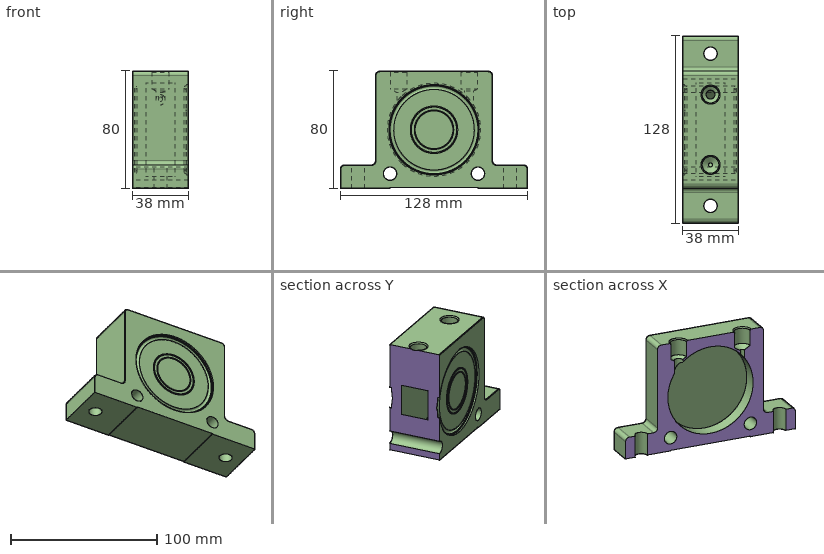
import cadquery as cq
import math

width = 38.0
length = 128.0
height = 80.0
body_length = height
foot_height = 16.0
corner_radius = 3.0
side_chamfer = 0.4

relief_length = 60.0
relief_depth = 0.4

bolt_diameter = 9.0
foot_bolt_spacing = 104.0
cross_bolt_spacing = relief_length
cross_bolt_height = 10.0

port_spacing = 48.0
port_diameter = 11.4
port_mouth_diameter = 13.0
port_depth = 12.0
drill_point_angle = 118.0
inlet_passage_diameter = 2.7
outlet_passage_diameter = 6.0

cap_height = height / 2
cap_diameter = 61.8
cap_recess = 1.3
rim_groove_inner_diameter = 55.0
rim_groove_outer_diameter = 60.0
rim_chamfer = 0.4
ring_groove_diameters = [(31.0, 32.5), (25.9, 27.0)]
ring_groove_depth = 0.3

chamber_diameter = 63.7
chamber_length = 20.0
passage_depth = height - cap_height


def make_block():
    """Upright body on two feet, with rounded corners and chamfered sides."""
    half_length = length / 2
    half_body = body_length / 2
    block = (
        cq.Workplane("YZ")
        .moveTo(-half_length, 0)
        .lineTo(half_length, 0)
        .lineTo(half_length, foot_height)
        .lineTo(half_body, foot_height)
        .lineTo(half_body, height)
        .lineTo(-half_body, height)
        .lineTo(-half_body, foot_height)
        .lineTo(-half_length, foot_height)
        .close()
        .extrude(width / 2, both=True)
    )
    block = block.edges("(|X) and (not <Z)").fillet(corner_radius)
    return block.faces("<X or >X").edges("not <Z").chamfer(side_chamfer)


def make_relief():
    return cq.Workplane("XY").box(width, relief_length, relief_depth, centered=(True, True, False))


def make_bolt_holes():
    half_foot_spacing = foot_bolt_spacing / 2
    half_cross_spacing = cross_bolt_spacing / 2
    foot_holes = (
        cq.Workplane("XY")
        .pushPoints([(0, -half_foot_spacing), (0, half_foot_spacing)])
        .circle(bolt_diameter / 2)
        .extrude(foot_height)
    )
    cross_holes = (
        cq.Workplane("YZ")
        .pushPoints([(-half_cross_spacing, cross_bolt_height), (half_cross_spacing, cross_bolt_height)])
        .circle(bolt_diameter / 2)
        .extrude(width / 2, both=True)
    )
    return foot_holes.union(cross_holes)


def make_port(y, passage_diameter):
    """Chamfered port with a drill-point floor and a narrower passage below it."""
    port_radius = port_diameter / 2
    mouth_radius = port_mouth_diameter / 2
    passage_radius = passage_diameter / 2
    mouth_depth = mouth_radius - port_radius
    cone_depth = (port_radius - passage_radius) / math.tan(math.radians(drill_point_angle / 2))
    return (
        cq.Workplane("XZ")
        .moveTo(0, 0)
        .lineTo(mouth_radius, 0)
        .lineTo(port_radius, -mouth_depth)
        .lineTo(port_radius, -port_depth)
        .lineTo(passage_radius, -port_depth - cone_depth)
        .lineTo(passage_radius, -passage_depth)
        .lineTo(0, -passage_depth)
        .close()
        .revolve(360, (0, 0, 0), (0, 1, 0))
        .translate((0, y, height))
    )


def make_cap_cut():
    """Recess of the -X end cap with its round-bottomed rim groove and two fine ring grooves."""
    cap_face = cq.Workplane("YZ", origin=(-width / 2, 0, cap_height))
    cut = cap_face.circle(cap_diameter / 2).extrude(cap_recess)
    for inner_diameter, outer_diameter in ring_groove_diameters:
        ring = (
            cap_face.workplane(offset=cap_recess)
            .circle(outer_diameter / 2)
            .circle(inner_diameter / 2)
            .extrude(ring_groove_depth)
        )
        cut = cut.union(ring)
    inner_radius = rim_groove_inner_diameter / 2
    outer_radius = rim_groove_outer_diameter / 2
    mouth_radius = outer_radius + rim_chamfer
    floor_radius = (outer_radius - inner_radius) / 2
    rim_groove = (
        cq.Workplane("XZ")
        .moveTo(0, inner_radius)
        .lineTo(rim_chamfer, inner_radius)
        .threePointArc(
            (rim_chamfer + floor_radius, inner_radius + floor_radius),
            (rim_chamfer, outer_radius),
        )
        .lineTo(0, mouth_radius)
        .close()
        .revolve(360, (0, 0, 0), (1, 0, 0))
        .translate((cap_recess - width / 2, 0, cap_height))
    )
    return cut.union(rim_groove)


def make_chamber():
    return (
        cq.Workplane("YZ", origin=(0, 0, cap_height))
        .circle(chamber_diameter / 2)
        .extrude(chamber_length / 2, both=True)
    )


cap_cut = make_cap_cut()
result = (
    make_block()
    .cut(make_relief())
    .cut(make_bolt_holes())
    .cut(make_chamber())
    .cut(make_port(-port_spacing / 2, inlet_passage_diameter))
    .cut(make_port(port_spacing / 2, outlet_passage_diameter))
    .cut(cap_cut)
    .cut(cap_cut.mirror("YZ"))
)